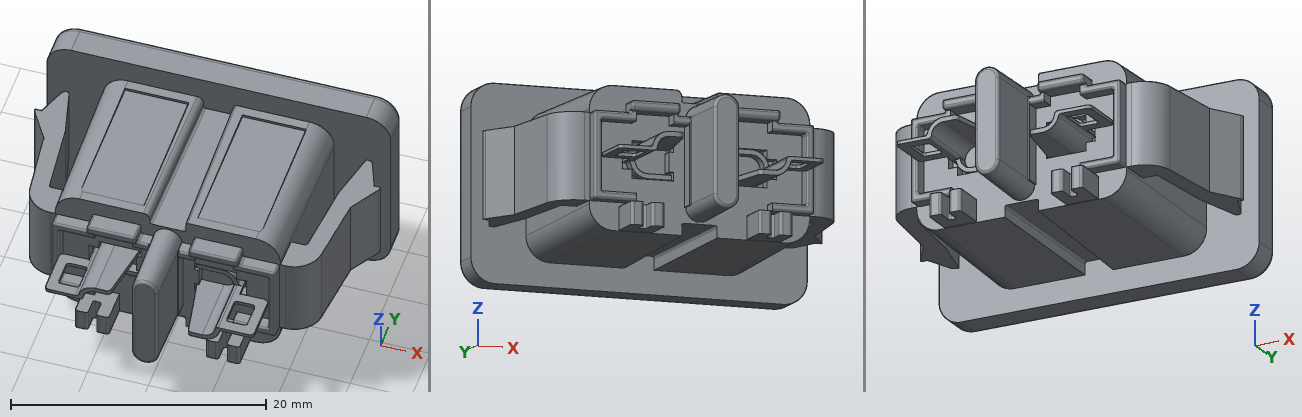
import cadquery as cq
import math


FLANGE_WIDTH = 28.25
FLANGE_HEIGHT = 16.0
FLANGE_THICKNESS = 2.73
FLANGE_CORNER = 2.0
FLANGE_EDGE = 0.57

BODY_HALF_WIDTH = 9.5
BODY_HALF_HEIGHT = 6.03
BODY_LENGTH = 13.25
BODY_CORNER = 2.02
DRAFT_ANGLE = 1.0
DRAFT_SLOPE = math.tan(math.radians(DRAFT_ANGLE))
BODY_SHRINK = BODY_LENGTH * DRAFT_SLOPE

GROOVE_HALF_WIDTH = 1.25
GROOVE_FLOOR = 4.92
GROOVE_FLOOR_DROP = 0.1
GROOVE_ROOT = 0.2
LEFT_LIP_ROUND = 0.55
RIGHT_LIP_ROUND = 0.17

PANEL_INNER = 2.22
PANEL_OUTER = 7.45
PANEL_START = 0.82
PANEL_END = 12.42

CLIP_HALF_HEIGHT = 3.52
CLIP_REACH = 14.2
CLIP_HEEL_ROUND = 2.33
CLIP_ROOT_ROUND = 0.28
CLIP_BARB_ROUND = 0.57
CLIP_TIP_OUTER_ROUND = 0.45
CLIP_TIP_INNER_ROUND = 0.17

FRAME_OUTER = 9.2
FRAME_INNER = 8.6
FRAME_HALF_HEIGHT = CLIP_HALF_HEIGHT
FRAME_INNER_HALF_HEIGHT = 2.87
FRAME_LENGTH = 1.1
FRAME_LEG_END = 5.7
FRAME_SHORT_LEG_END = 2.55
FRAME_ROUND = 0.17

WEB_HALF_WIDTH = 1.25

BRIDGE_INNER = 2.2
BRIDGE_OUTER = 6.2
BRIDGE_TOP = 4.43
BRIDGE_BOTTOM = 3.65
BRIDGE_LOWER_ROUND = 0.28
BRIDGE_LENGTH = 1.55

BLADE_HALF_WIDTH = 1.17
BLADE_HALF_HEIGHT = 4.63
BLADE_LENGTH = 6.03
BLADE_EDGE = 0.25

FORK_INNER = 3.98
FORK_OUTER = 6.75
FORK_TOP = -3.87
FORK_BOTTOM = -5.75
FORK_LENGTH = 2.75
FORK_SLOT_WIDTH = 0.68
FORK_SLOT_DEPTH = 1.42
FORK_SLOT_ROUND = 0.2
FORK_ROUND = 0.23

SOCKET_INNER = 2.2
SOCKET_OUTER = 5.65
SOCKET_HALF_HEIGHT = 1.5
SOCKET_STEP = 0.37
SOCKET_NOTCH_OUTER = 6.48
SOCKET_NOTCH_HALF_HEIGHT = 0.8
SOCKET_DEPTH = 0.85

TAB_HALF_THICKNESS = 0.15
TAB_OUTER = 8.58
TAB_START = 14.1
TAB_CORNER = 0.37
ARM_OUTER_RADIUS = 1.45
ARM_THICKNESS = 0.4
ARM_BEND_X = 4.38
ARM_INNER = 2.35
TERMINAL_END = 18.15
TONGUE_TIP = 3.2
BEND_ROUND = 0.28
WINDOW_INNER = 6.05
WINDOW_OUTER = 7.75
WINDOW_START = 14.95
WINDOW_END = 17.25
WINDOW_CORNER = 0.25

OVERLAP = 0.28


def block(x_range, depth_range, z_range):
    """Box between two X, two depths from the flange face, and two Z."""
    x0, x1 = x_range
    d0, d1 = depth_range
    z0, z1 = z_range
    return cq.Workplane("XY").box(x1 - x0, d1 - d0, z1 - z0, centered=False).translate((x0, -d1, z0))


def at_depth(depth):
    """XZ sketch plane facing -Y, at a depth from the flange face."""
    return cq.Workplane("XZ", origin=(0, -depth, 0))


def mirrored(shape):
    """The shape together with its mirror image across the YZ plane."""
    return shape.union(shape.mirror("YZ"))


def nearest(x, y, z):
    """Selector for the edge whose centre is nearest to a point."""
    return cq.selectors.NearestToPointSelector((x, y, z))


def make_flange():
    flange = at_depth(0).rect(FLANGE_WIDTH, FLANGE_HEIGHT).extrude(-FLANGE_THICKNESS)
    flange = flange.edges("|Y").fillet(FLANGE_CORNER)
    return flange.faces(">Y").edges().fillet(FLANGE_EDGE)


def make_groove():
    """Cutter for the top groove; it widens and deepens away from the flange."""
    ceiling = BODY_HALF_HEIGHT + OVERLAP
    end_floor = GROOVE_FLOOR - GROOVE_FLOOR_DROP
    end_half_width = GROOVE_HALF_WIDTH + BODY_SHRINK
    groove = (
        at_depth(0)
        .center(0, (GROOVE_FLOOR + ceiling) / 2)
        .rect(2 * GROOVE_HALF_WIDTH, ceiling - GROOVE_FLOOR)
        .workplane(offset=BODY_LENGTH)
        .center(0, (end_floor - GROOVE_FLOOR) / 2)
        .rect(2 * end_half_width, ceiling - end_floor)
        .loft(ruled=True)
    )
    return groove.faces("<Z").edges("not |X").fillet(GROOVE_ROOT)


def make_body():
    body = at_depth(0).rect(2 * BODY_HALF_WIDTH, 2 * BODY_HALF_HEIGHT)
    body = body.extrude(BODY_LENGTH, taper=DRAFT_ANGLE)
    body = body.edges("not (|X or |Z)").fillet(BODY_CORNER)
    groove = make_groove()
    body = body.cut(groove).cut(groove.mirror("XY"))

    lip_x = GROOVE_HALF_WIDTH + BODY_SHRINK / 2
    lip_z = BODY_HALF_HEIGHT - BODY_SHRINK / 2
    for side, radius in ((-1, LEFT_LIP_ROUND), (1, RIGHT_LIP_ROUND)):
        body = body.edges(nearest(side * lip_x, -BODY_LENGTH / 2, lip_z)).fillet(radius)

    panel_floor = BODY_HALF_HEIGHT - PANEL_END * DRAFT_SLOPE
    panel = block(
        (PANEL_INNER, PANEL_OUTER),
        (PANEL_START, PANEL_END),
        (panel_floor, BODY_HALF_HEIGHT + OVERLAP),
    )
    return body.cut(mirrored(panel))


def make_clip():
    """Hooked spring arm on the +X side."""
    heel = (11.77, -BODY_LENGTH)
    root = (10.6, -10.6)
    barb = (CLIP_REACH, -3.05)
    tip_outer = (12.7, -0.25)
    tip_inner = (12.22, -0.25)
    outline = [
        (BODY_HALF_WIDTH - 2 * OVERLAP, -BODY_LENGTH),
        heel,
        (12.62, -5.6),
        barb,
        (CLIP_REACH, -2.8),
        (13.67, -2.8),
        tip_outer,
        tip_inner,
        (11.23, -4.4),
        root,
        (BODY_HALF_WIDTH - 2 * OVERLAP, root[1]),
    ]
    clip = (
        cq.Workplane("XY", origin=(0, 0, -CLIP_HALF_HEIGHT))
        .polyline(outline)
        .close()
        .extrude(2 * CLIP_HALF_HEIGHT)
    )
    corner_rounds = (
        (heel, CLIP_HEEL_ROUND),
        (root, CLIP_ROOT_ROUND),
        (barb, CLIP_BARB_ROUND),
        (tip_outer, CLIP_TIP_OUTER_ROUND),
        (tip_inner, CLIP_TIP_INNER_ROUND),
    )
    for corner, radius in corner_rounds:
        clip = clip.edges(nearest(*corner, 0)).fillet(radius)
    return clip


def make_frame():
    """Shroud on the +X half of the end face, open on the side of the blade."""
    depths = (BODY_LENGTH - OVERLAP, BODY_LENGTH + FRAME_LENGTH)
    height = (-FRAME_HALF_HEIGHT, FRAME_HALF_HEIGHT)
    inside = block((-OVERLAP, FRAME_INNER), depths, (-FRAME_INNER_HALF_HEIGHT, FRAME_INNER_HALF_HEIGHT))
    inside = inside.edges("|Y and >X").fillet(FRAME_ROUND)
    frame = block((0, FRAME_OUTER), depths, height).cut(inside)
    frame = frame.edges("|Y and >X").fillet(FRAME_ROUND)

    step_top = BRIDGE_BOTTOM + BRIDGE_LOWER_ROUND
    step = block((BRIDGE_INNER, BRIDGE_OUTER), depths, (FRAME_HALF_HEIGHT - OVERLAP, step_top))
    frame = frame.union(step)
    for x in (BRIDGE_INNER, BRIDGE_OUTER):
        frame = frame.edges(nearest(x, -sum(depths) / 2, FRAME_HALF_HEIGHT)).fillet(FRAME_ROUND)
    frame = frame.faces("<Y").edges("not <X").fillet(FRAME_ROUND)

    top_gap = block((FRAME_SHORT_LEG_END, FRAME_LEG_END), depths, (0, step_top))
    bottom_gap = block((-OVERLAP, FRAME_LEG_END), depths, (-FRAME_HALF_HEIGHT, 0))
    web = block((0, WEB_HALF_WIDTH), depths, height)
    return frame.cut(top_gap).cut(bottom_gap).union(web)


def make_bridge():
    """Bridge above the +X frame's top gap, carried by the steps beside the gap."""
    bridge = block(
        (BRIDGE_INNER, BRIDGE_OUTER),
        (BODY_LENGTH - OVERLAP, BODY_LENGTH + BRIDGE_LENGTH),
        (BRIDGE_BOTTOM, BRIDGE_TOP),
    )
    bridge = bridge.edges("|Y and >Z").fillet(FRAME_ROUND)
    bridge = bridge.faces("<Y").edges("<Z").fillet(BRIDGE_LOWER_ROUND)
    return bridge.faces("<Y").edges("not <Z").fillet(FRAME_ROUND)


def make_blade():
    blade = (
        at_depth(BODY_LENGTH - OVERLAP)
        .slot2D(2 * BLADE_HALF_HEIGHT, 2 * BLADE_HALF_WIDTH, 90)
        .extrude(BLADE_LENGTH + OVERLAP, taper=DRAFT_ANGLE)
    )
    return blade.faces("<Y").edges().fillet(BLADE_EDGE)


def make_fork():
    """Two-pronged pin on the +X side."""
    end = BODY_LENGTH + FORK_LENGTH
    middle = (FORK_INNER + FORK_OUTER) / 2
    fork = block((FORK_INNER, FORK_OUTER), (BODY_LENGTH - OVERLAP, end), (FORK_BOTTOM, FORK_TOP))
    slot = block(
        (middle - FORK_SLOT_WIDTH / 2, middle + FORK_SLOT_WIDTH / 2),
        (end - FORK_SLOT_DEPTH, end),
        (FORK_BOTTOM, FORK_TOP),
    )
    slot = slot.edges("|Z and >Y").fillet(FORK_SLOT_ROUND)
    return fork.cut(slot).faces("<Y").edges("|Z").fillet(FORK_ROUND)


def make_socket():
    """Cutter for the recess around the +X terminal."""
    depths = (BODY_LENGTH - SOCKET_DEPTH, BODY_LENGTH + OVERLAP)
    notch_height = (-SOCKET_NOTCH_HALF_HEIGHT, SOCKET_NOTCH_HALF_HEIGHT)
    socket = block((SOCKET_INNER, SOCKET_OUTER), depths, (-SOCKET_HALF_HEIGHT, SOCKET_HALF_HEIGHT))
    socket = socket.cut(block((SOCKET_INNER, SOCKET_INNER + SOCKET_STEP), depths, notch_height))
    return socket.union(block((SOCKET_OUTER, SOCKET_NOTCH_OUTER), depths, notch_height))


def bent_strip(start, end):
    """Flat tab that turns down through a quarter bend into a parallel arm."""
    t = TAB_HALF_THICKNESS
    inner_radius = ARM_OUTER_RADIUS - ARM_THICKNESS
    half = math.sqrt(0.5)

    def bend_point(radius, z):
        return (ARM_BEND_X + math.sqrt(radius**2 - z**2), z)

    def bend_middle(radius):
        return (ARM_BEND_X + radius * half, -radius * half)

    concave = bend_point(ARM_OUTER_RADIUS, -t)
    convex = bend_point(inner_radius, t)
    strip = (
        at_depth(start)
        .moveTo(TAB_OUTER, -t)
        .lineTo(*concave)
        .threePointArc(bend_middle(ARM_OUTER_RADIUS), (ARM_BEND_X, -ARM_OUTER_RADIUS))
        .lineTo(ARM_INNER, -ARM_OUTER_RADIUS)
        .lineTo(ARM_INNER, -inner_radius)
        .lineTo(ARM_BEND_X, -inner_radius)
        .threePointArc(bend_middle(inner_radius), (ARM_BEND_X + inner_radius, 0))
        .lineTo(*convex)
        .lineTo(TAB_OUTER, t)
        .close()
        .extrude(end - start)
    )
    middle_y = -(start + end) / 2
    for x, z in (concave, convex):
        strip = strip.edges(nearest(x, middle_y, z)).fillet(BEND_ROUND)
    return strip


def make_terminal():
    """Terminal on the +X side: windowed tab, bend, and a tapered tongue below it."""
    root = BODY_LENGTH - SOCKET_DEPTH - OVERLAP
    strip = bent_strip(root, TERMINAL_END)
    plan = (
        cq.Workplane("XY", origin=(0, 0, -2 * ARM_OUTER_RADIUS))
        .polyline(
            [
                (ARM_INNER, -root),
                (ARM_INNER, -BODY_LENGTH),
                (TONGUE_TIP, -TERMINAL_END),
                (TAB_OUTER, -TERMINAL_END),
                (TAB_OUTER, -TAB_START),
                (SOCKET_NOTCH_OUTER - OVERLAP, -TAB_START),
                (SOCKET_NOTCH_OUTER - OVERLAP, -root),
            ]
        )
        .close()
        .extrude(4 * ARM_OUTER_RADIUS)
    )
    plan = plan.faces("<Y").edges("|Z").fillet(TAB_CORNER)
    plan = plan.edges(nearest(TAB_OUTER, -TAB_START, 0)).fillet(TAB_CORNER)
    window = block((WINDOW_INNER, WINDOW_OUTER), (WINDOW_START, WINDOW_END), (-OVERLAP, OVERLAP))
    window = window.edges("|Z").fillet(WINDOW_CORNER)

    short_arm = bent_strip(root, BODY_LENGTH).mirror("XY").intersect(plan)
    return strip.intersect(plan).cut(window).union(short_arm)


body = make_body().cut(mirrored(make_socket()))
result = make_flange().union(body)
for feature in (make_clip(), make_frame(), make_bridge(), make_fork()):
    result = result.union(mirrored(feature))
result = result.union(make_blade())

terminal = make_terminal()
result = result.union(terminal).union(terminal.rotate((0, 0, 0), (0, 1, 0), 180))